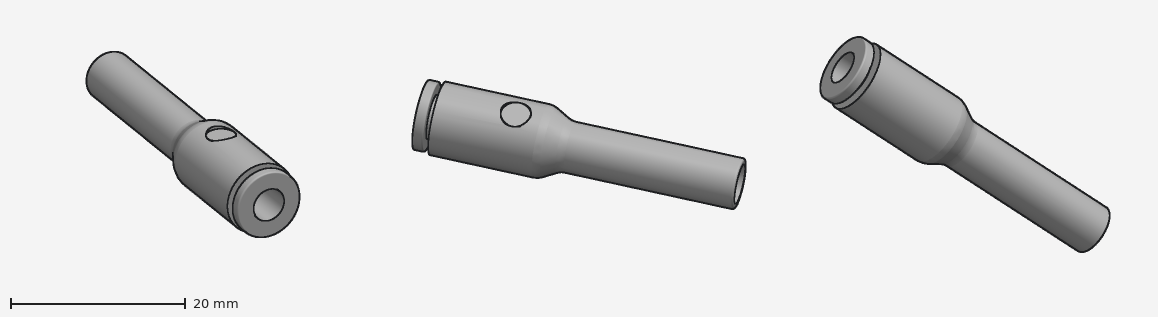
import cadquery as cq

total_length = 37.85

stem_radius = 3.0
stem_bore_radius = 2.33
stem_end_round = 0.3

cone_start = 20.6
cone_length = 2.45
cone_blend_radius = 2.0

body_radius = 4.325

collar_radius = 4.125
collar_width = 1.3
collar_edge_round = 0.2
neck_radius = 2.6
neck_width = 0.7

socket_radius = 2.0

recess_center = 26.6
recess_radius = 1.75
recess_depth = 0.4

cone_end = cone_start + cone_length
collar_start = total_length - collar_width
body_end = collar_start - neck_width


def cylinder_along_x(radius, start, end):
    return cq.Workplane("YZ", origin=(start, 0, 0)).circle(radius).extrude(end - start)


def make_stem_and_body():
    half_profile = (
        cq.Workplane("XY")
        .moveTo(0, 0)
        .lineTo(0, stem_radius)
        .lineTo(cone_start, stem_radius)
        .lineTo(cone_end, body_radius)
        .lineTo(body_end, body_radius)
        .lineTo(body_end, 0)
        .close()
    )
    turned = half_profile.revolve(360, (0, 0, 0), (1, 0, 0))
    cone_rims = turned.faces("%CONE").edges("%CIRCLE")
    blended = cone_rims.fillet(cone_blend_radius)
    return blended.faces("<X").edges().fillet(stem_end_round)


def make_release_collar():
    neck = cylinder_along_x(neck_radius, body_end, collar_start)
    collar = cylinder_along_x(collar_radius, collar_start, total_length)
    collar = collar.edges("%CIRCLE").fillet(collar_edge_round)
    return neck.union(collar)


def make_bore():
    stem_bore = cylinder_along_x(stem_bore_radius, 0, cone_start)
    socket = cylinder_along_x(socket_radius, cone_start, total_length)
    return stem_bore.union(socket)


def make_recess():
    floor_height = body_radius - recess_depth
    return (
        cq.Workplane("XY", origin=(recess_center, 0, floor_height))
        .circle(recess_radius)
        .extrude(recess_depth)
    )


result = (
    make_stem_and_body()
    .union(make_release_collar())
    .cut(make_bore())
    .cut(make_recess())
)